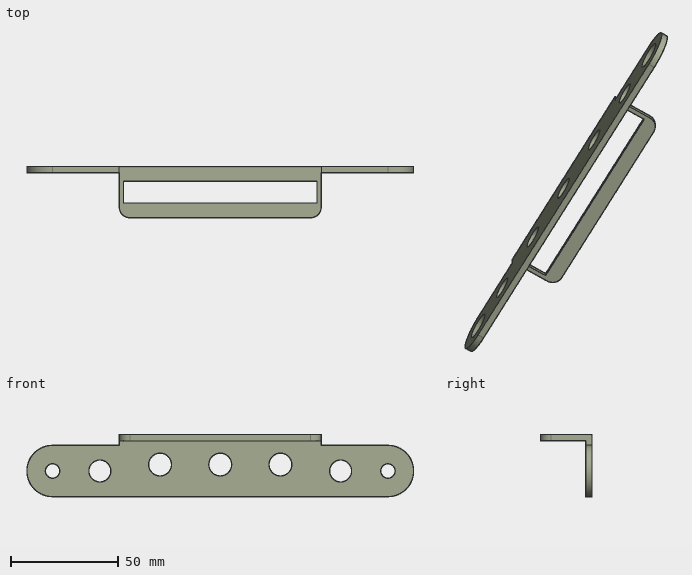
import cadquery as cq
import math

length = 180.0
plate_height = 24.0
thickness = 3.0
end_radius = plate_height / 2
end_center_x = length / 2 - end_radius

overall_height = 29.0
flange_width = 94.0
flange_depth = 24.0
flange_corner_radius = 5.0
bend_radius = 0.4
flange_top = overall_height - end_radius

window_width = 90.0
window_depth = 10.0
window_setback = 7.0

mount_hole_diameter = 6.6
countersink_diameter = 12.4
countersink_angle = 90.0
outer_hole_diameter = 10.1
inner_hole_diameter = 10.5
hole_pitch = 28.0
inner_hole_z = 3.0


def make_plate():
    """Round-ended strip with a raised middle, its back face on Y = 0."""
    strip = cq.Workplane("XZ").slot2D(length, plate_height).extrude(thickness)
    raised_middle = (
        cq.Workplane("XZ")
        .center(0, flange_top / 2)
        .rect(flange_width, flange_top)
        .extrude(thickness)
    )
    return strip.union(raised_middle)


def make_flange():
    """Horizontal flange with rounded front corners and a rectangular window."""
    flange = (
        cq.Workplane("XY", origin=(0, -flange_depth / 2, flange_top - thickness))
        .rect(flange_width, flange_depth)
        .extrude(thickness)
        .edges("|Z and <Y")
        .fillet(flange_corner_radius)
    )
    window_center_y = -(window_setback + window_depth / 2)
    window = (
        cq.Workplane("XY", origin=(0, window_center_y, flange_top - thickness))
        .rect(window_width, window_depth)
        .extrude(thickness)
    )
    return flange.cut(window)


def make_holes(positions, diameter):
    """Cylinders passing through the plate at the given (X, Z) positions."""
    return cq.Workplane("XZ").pushPoints(positions).circle(diameter / 2).extrude(thickness)


def make_countersinks(positions):
    """Cones that open toward the back face, around the mounting holes."""
    half_angle = math.radians(countersink_angle / 2)
    cone_height = countersink_diameter / 2 / math.tan(half_angle)
    toward_front = cq.Vector(0, -1, 0)
    countersinks = cq.Workplane("XY")
    for x, z in positions:
        center = cq.Vector(x, 0, z)
        cone = cq.Solid.makeCone(countersink_diameter / 2, 0, cone_height, center, toward_front)
        countersinks = countersinks.add(cone)
    return countersinks.combine()


mount_positions = [(side * end_center_x, 0) for side in (-1, 1)]
outer_positions = [(side * 2 * hole_pitch, 0) for side in (-1, 1)]
inner_positions = [(step * hole_pitch, inner_hole_z) for step in (-1, 0, 1)]

bracket = make_plate().union(make_flange()).clean()
outer_bend_edge = cq.selectors.NearestToPointSelector((0, 0, flange_top))

result = (
    bracket.edges(outer_bend_edge)
    .fillet(bend_radius)
    .cut(make_holes(mount_positions, mount_hole_diameter))
    .cut(make_countersinks(mount_positions))
    .cut(make_holes(outer_positions, outer_hole_diameter))
    .cut(make_holes(inner_positions, inner_hole_diameter))
)